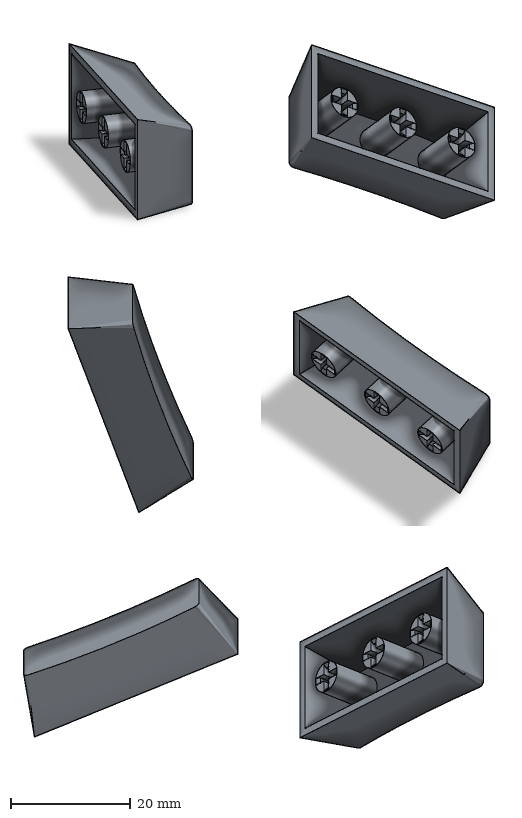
import cadquery as cq

height = 10.51
mouth_width = 37.15
mouth_depth = 18.0
mouth_corner_radius = 0.02

crown_width = 32.0
crown_top_z = 5.5
crown_bottom_z = -8.7
crown_corner_radius = 1.0

dish_sag = 0.65
wall = 1.3
crown_thickness = 1.1

stem_diameter = 5.5
stem_spacing = 11.9
stem_count = 3

cross_length = 3.95
cross_slot_width = 1.25
lead_in_length = 5.15
lead_in_depth = 0.5

crown_depth = crown_top_z - crown_bottom_z
crown_center_z = (crown_top_z + crown_bottom_z) / 2
dish_radius = ((crown_width / 2) ** 2 + dish_sag ** 2) / (2 * dish_sag)


def tapered_body(inset, mouth_radius=None, crown_radius=None):
    """Ruled body from the mouth to the crown, drawn in by `inset` on every side.

    With radii given, the corners round out from the mouth to the crown.
    """
    mouth = cq.Sketch().rect(mouth_width - 2 * inset, mouth_depth - 2 * inset)
    crown = cq.Sketch().rect(crown_width - 2 * inset, crown_depth - 2 * inset)
    if mouth_radius:
        mouth = mouth.vertices().fillet(mouth_radius)
        crown = crown.vertices().fillet(crown_radius)
    crown_place = cq.Location(cq.Vector(0, crown_center_z, -height))
    return cq.Workplane("XZ").placeSketch(mouth, crown.moved(crown_place)).loft(ruled=True)


def dish_cutter(drop):
    """Cylinder along Z whose surface is the dish, lowered by `drop` towards the mouth."""
    axis_y = height - drop - dish_sag + dish_radius
    return cq.Workplane("XY").center(0, axis_y).circle(dish_radius).extrude(mouth_depth, both=True)


def cross_arm(angle):
    """One slot of the stem socket, with sloped lead-ins at both ends."""
    half_mouth = lead_in_length / 2
    half_slot = cross_length / 2
    return (
        cq.Workplane("XY")
        .polyline([
            (-half_mouth, 0),
            (half_mouth, 0),
            (half_slot, lead_in_depth),
            (half_slot, height),
            (-half_slot, height),
            (-half_slot, lead_in_depth),
        ])
        .close()
        .extrude(cross_slot_width / 2, both=True)
        .rotate((0, 0, 0), (0, 1, 0), angle)
    )


def stem(index):
    """Round stem with a cross socket, longer than the cavity is deep."""
    offset_x = (index - (stem_count - 1) / 2) * stem_spacing
    post = cq.Workplane("XZ").circle(stem_diameter / 2).extrude(-height)
    return post.cut(cross_arm(0)).cut(cross_arm(90)).translate((offset_x, 0, 0))


cavity = tapered_body(wall).cut(dish_cutter(crown_thickness))
for stem_index in range(stem_count):
    cavity = cavity.cut(stem(stem_index))

outer = tapered_body(0, mouth_corner_radius, crown_corner_radius).cut(dish_cutter(0))
result = outer.cut(cavity)